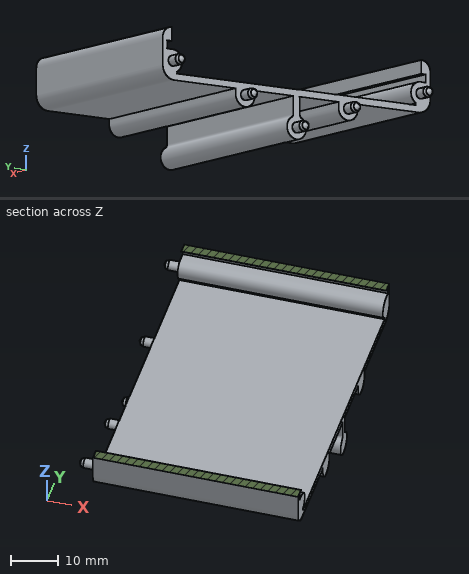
import cadquery as cq
import math

length = 45.0
width = 70.0
floor_thickness = 1.5

wall_top = 11.35
wall_thickness = 1.2
lip_depth = 2.4
lip_height = 3.0
corner_radius = 3.0

web_width = 3.8

boss_radius = 2.5
corner_boss_y = 32.4
corner_boss_z = 4.1
middle_boss_y = 13.45
middle_boss_z = -1.2
center_boss_z = -6.7
stem_width = 1.7
stem_fillet = 0.8

pin_radius = 1.14
pin_straight = 2.5
pin_shoulder_end = 3.2
pin_tip_radius = 0.85
pin_length = 3.64

half_width = width / 2
pin_centers = [
    (-corner_boss_y, corner_boss_z),
    (-middle_boss_y, middle_boss_z),
    (0, center_boss_z),
    (middle_boss_y, middle_boss_z),
    (corner_boss_y, corner_boss_z),
]


def prism(y_min, y_max, z_min, z_max):
    """Full-length rectangular bar."""
    size_y = y_max - y_min
    size_z = z_max - z_min
    return cq.Workplane("XY").box(length, size_y, size_z, centered=False).translate((0, y_min, z_min))


def rod(y, z):
    """Full-length round boss."""
    return cq.Workplane("YZ").center(y, z).circle(boss_radius).extrude(length)


def make_floor():
    """Flat floor reaching from web to web."""
    edge_y = half_width - web_width
    return prism(-edge_y, edge_y, 0, floor_thickness)


def make_side():
    """Wall, lip and corner boss on the +Y side, with rounded outer corners."""
    slot_y = half_width - wall_thickness
    lip_y = half_width - lip_depth
    web_y = half_width - web_width
    slot_top = wall_top - lip_height
    slot_bottom = corner_boss_z + boss_radius
    diagonal = math.sqrt(0.5)
    lip_arc_mid = (lip_y + lip_depth * diagonal, wall_top + lip_depth * (diagonal - 1))
    corner_arc_mid = (
        half_width + corner_radius * (diagonal - 1),
        corner_radius * (1 - diagonal),
    )
    profile = (
        cq.Workplane("YZ")
        .moveTo(lip_y, wall_top)
        .threePointArc(lip_arc_mid, (half_width, wall_top - lip_depth))
        .lineTo(half_width, corner_radius)
        .threePointArc(corner_arc_mid, (half_width - corner_radius, 0))
        .lineTo(web_y, 0)
        .lineTo(web_y, corner_boss_z)
        .lineTo(corner_boss_y, slot_bottom)
        .lineTo(slot_y, slot_bottom)
        .lineTo(slot_y, slot_top)
        .lineTo(lip_y, slot_top)
        .close()
    )
    return profile.extrude(length).union(rod(corner_boss_y, corner_boss_z))


def make_middle_boss(y):
    """U-shaped boss hanging under the floor."""
    block = prism(y - boss_radius, y + boss_radius, middle_boss_z, floor_thickness)
    return block.union(rod(y, middle_boss_z))


def make_center_boss():
    """Round boss hanging on a thin stem, with fillets where the two meet."""
    half_stem = stem_width / 2
    stem = prism(-half_stem, half_stem, center_boss_z, floor_thickness)
    body = stem.union(rod(0, center_boss_z))
    joint_z = center_boss_z + math.sqrt(boss_radius**2 - half_stem**2)
    for y in (-half_stem, half_stem):
        joint = cq.NearestToPointSelector((length / 2, y, joint_z))
        body = body.edges(joint).fillet(stem_fillet)
    return body


def make_pin(y, z):
    """Pin with a tapered shoulder and a blunt pointed tip, sticking out of the -X face."""
    half_section = (
        cq.Workplane("XY")
        .polyline([
            (0, 0),
            (0, pin_radius),
            (-pin_straight, pin_radius),
            (-pin_shoulder_end, pin_tip_radius),
            (-pin_length, 0),
        ])
        .close()
    )
    return half_section.revolve(360, (0, 0, 0), (1, 0, 0)).translate((0, y, z))


side = make_side()
result = make_floor().union(side).union(side.mirror("XZ"))
for boss_y in (-middle_boss_y, middle_boss_y):
    result = result.union(make_middle_boss(boss_y))
result = result.union(make_center_boss())
for pin_y, pin_z in pin_centers:
    result = result.union(make_pin(pin_y, pin_z))